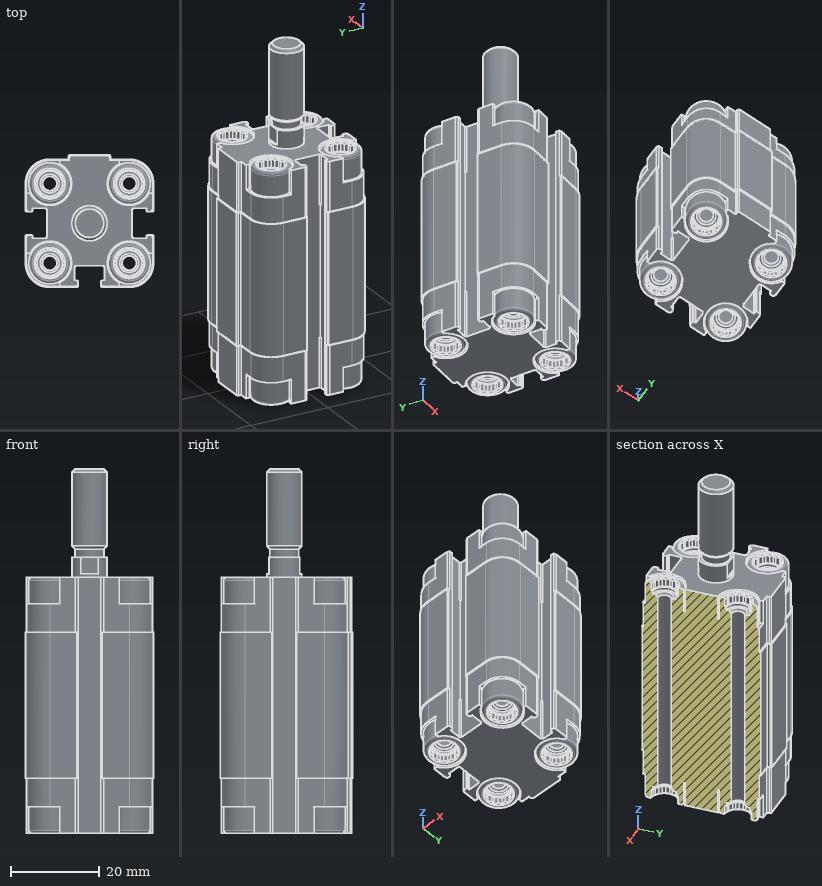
import cadquery as cq
import math


TOTAL_HEIGHT = 82.5
HOUSING_HEIGHT = 58.0
BARREL_WIDTH = 29.0
CAP_INSET = 0.25
CAP_HEIGHT = 12.45
SCREW_OFFSET = 9.0
BARREL_HALF = BARREL_WIDTH / 2
CAP_HALF = BARREL_HALF - CAP_INSET
BARREL_CORNER_RADIUS = BARREL_HALF - SCREW_OFFSET
BARREL_HEIGHT = HOUSING_HEIGHT - 2 * CAP_HEIGHT

RIB_WIDTH = 9.65
RIB_PROJECTION = 1.0
RIB_CHAMFER = 0.3

SLOT_WIDTH = 6.8
SLOT_FLOOR = 9.65
SLOT_MOUTH_WIDTH = 5.2
SLOT_LIP_THICKNESS = 1.65
SLOT_LIP_INNER_CHAMFER = 0.25
CAP_FLOOR_BEVEL = 0.3
BARREL_MOUTH_CHAMFER = 0.25
CAP_MOUTH_CHAMFER = 0.6
CAP_MOUTH_CHAMFER_DEPTH = 0.25
SLOT_ANGLES = (90, 180, 270)

HEAD_DIAMETER = 9.5
POCKET_DIAMETER = 9.9
HEAD_HEIGHT = 6.0
HEAD_FILLET = 0.75
CORNER_CUT_START = 6.8
SOCKET_POINTS = 12
SOCKET_MOUTH_DIAMETER = 7.0
SOCKET_OUTER_DIAMETER = 6.8
SOCKET_INNER_DIAMETER = 6.1
SOCKET_DEPTH = 2.3
RELIEF_DIAMETER = 5.7
RELIEF_DEPTH = 0.8
HOLE_DIAMETER = 3.2
HOLE_MOUTH_DIAMETER = 4.3

ROD_DIAMETER = 8.0
NECK_DIAMETER = 6.6
TIP_DIAMETER = 6.4
COLLAR_HEIGHT = 4.5
NECK_HEIGHT = 1.8
FLAT_SPACING = 7.0
FLAT_START = 0.75
ROD_DEPTH = CAP_HEIGHT


def outer_block(inset, height):
    """Rounded square block with its rib, moved in by the inset on every side."""
    half = BARREL_HALF - inset
    block = (
        cq.Workplane("XY")
        .rect(2 * half, 2 * half)
        .extrude(height)
        .edges("|Z")
        .fillet(BARREL_CORNER_RADIUS - inset)
    )
    rib_top = half + RIB_PROJECTION
    rib = (
        cq.Workplane("XY")
        .center(0, rib_top / 2)
        .rect(RIB_WIDTH - 2 * inset, rib_top)
        .extrude(height)
        .edges("|Z and >Y")
        .chamfer(RIB_CHAMFER)
    )
    return block.union(rib)


def slot_cutter():
    """T-slot on the +Y side over the whole height, with square floor corners in the barrel only."""
    half_slot = SLOT_WIDTH / 2
    half_mouth = SLOT_MOUTH_WIDTH / 2
    lip = BARREL_HALF - SLOT_LIP_THICKNESS
    bevel = SLOT_LIP_INNER_CHAMFER
    right_side = [
        (half_slot - CAP_FLOOR_BEVEL, SLOT_FLOOR),
        (half_slot, SLOT_FLOOR + CAP_FLOOR_BEVEL),
        (half_slot, lip),
        (half_mouth + bevel, lip),
        (half_mouth, lip + bevel),
        (half_mouth, BARREL_HALF),
    ]
    left_side = [(-x, y) for x, y in reversed(right_side)]
    slot = cq.Workplane("XY").polyline(right_side + left_side).close().extrude(HOUSING_HEIGHT)
    square_floor = (
        cq.Workplane("XY")
        .workplane(offset=CAP_HEIGHT)
        .center(0, (SLOT_FLOOR + lip) / 2)
        .rect(SLOT_WIDTH, lip - SLOT_FLOOR)
        .extrude(BARREL_HEIGHT)
    )
    return slot.union(square_floor)


def mouth_chamfer_cutter(face, chamfer, depth, bottom, height):
    """Wedge that bevels both slot mouth edges at a housing face on the +Y side."""
    half_mouth = SLOT_MOUTH_WIDTH / 2
    outline = [
        (half_mouth, face - depth),
        (half_mouth + chamfer, face),
        (-half_mouth - chamfer, face),
        (-half_mouth, face - depth),
    ]
    return cq.Workplane("XY").workplane(offset=bottom).polyline(outline).close().extrude(height)


def corner_clearance():
    """Space around the screw head in the +X +Y corner of the top cap, with the head left standing."""
    bottom = HOUSING_HEIGHT - HEAD_HEIGHT
    size = BARREL_HALF - CORNER_CUT_START
    corner = (
        cq.Workplane("XY")
        .box(size, size, HEAD_HEIGHT, centered=False)
        .translate((CORNER_CUT_START, CORNER_CUT_START, bottom))
    )
    axis = cq.Workplane("XY").workplane(offset=bottom).center(SCREW_OFFSET, SCREW_OFFSET)
    pocket = axis.circle(POCKET_DIAMETER / 2).extrude(HEAD_HEIGHT)
    head = axis.circle(HEAD_DIAMETER / 2).extrude(HEAD_HEIGHT).faces(">Z").edges().fillet(HEAD_FILLET)
    return corner.union(pocket).cut(head)


def cone_cutter(wide_diameter, narrow_diameter, top):
    """Cone on the Z axis that narrows downward at 45 degrees to the axis."""
    depth = (wide_diameter - narrow_diameter) / 2
    return (
        cq.Workplane("XY")
        .workplane(offset=top)
        .circle(wide_diameter / 2)
        .workplane(offset=-depth)
        .circle(narrow_diameter / 2)
        .loft()
    )


def socket_cutter():
    """Twelve-point socket, its mouth cone, its relief and the countersunk hole mouth, same corner."""
    points = []
    for step in range(2 * SOCKET_POINTS):
        angle = math.pi * step / SOCKET_POINTS
        radius = (SOCKET_OUTER_DIAMETER if step % 2 == 0 else SOCKET_INNER_DIAMETER) / 2
        points.append((radius * math.cos(angle), radius * math.sin(angle)))
    socket = cq.Workplane("XY").polyline(points).close().extrude(-SOCKET_DEPTH)
    floor = SOCKET_DEPTH + RELIEF_DEPTH
    relief = cq.Workplane("XY").circle(RELIEF_DIAMETER / 2).extrude(-floor)
    mouth = cone_cutter(SOCKET_MOUTH_DIAMETER, SOCKET_INNER_DIAMETER, 0)
    countersink = cone_cutter(HOLE_MOUTH_DIAMETER, HOLE_DIAMETER, -floor)
    cutter = socket.union(mouth).union(relief).union(countersink)
    return cutter.translate((SCREW_OFFSET, SCREW_OFFSET, HOUSING_HEIGHT))


def make_housing():
    cap_blank = outer_block(CAP_INSET, HOUSING_HEIGHT)
    barrel_blank = outer_block(0, BARREL_HEIGHT).translate((0, 0, CAP_HEIGHT))
    housing = cap_blank.union(barrel_blank)

    top_cap_bottom = HOUSING_HEIGHT - CAP_HEIGHT
    slot_cutters = [
        slot_cutter(),
        mouth_chamfer_cutter(
            BARREL_HALF, BARREL_MOUTH_CHAMFER, BARREL_MOUTH_CHAMFER, CAP_HEIGHT, BARREL_HEIGHT
        ),
    ]
    for cap_bottom in (0, top_cap_bottom):
        slot_cutters.append(
            mouth_chamfer_cutter(
                CAP_HALF, CAP_MOUTH_CHAMFER, CAP_MOUTH_CHAMFER_DEPTH, cap_bottom, CAP_HEIGHT
            )
        )
    for angle in SLOT_ANGLES:
        for cutter in slot_cutters:
            housing = housing.cut(cutter.rotate((0, 0, 0), (0, 0, 1), angle))

    middle = (0, 0, HOUSING_HEIGHT / 2)
    for top_cutter in (corner_clearance(), socket_cutter()):
        bottom_cutter = top_cutter.mirror("XY", middle)
        for corner in range(4):
            for cutter in (top_cutter, bottom_cutter):
                housing = housing.cut(cutter.rotate((0, 0, 0), (0, 0, 1), 90 * corner))

    screw_holes = (
        cq.Workplane("XY")
        .rect(2 * SCREW_OFFSET, 2 * SCREW_OFFSET, forConstruction=True)
        .vertices()
        .circle(HOLE_DIAMETER / 2)
        .extrude(HOUSING_HEIGHT)
    )
    housing = housing.cut(screw_holes)

    rod_bore = (
        cq.Workplane("XY")
        .workplane(offset=HOUSING_HEIGHT - ROD_DEPTH)
        .circle(ROD_DIAMETER / 2)
        .extrude(ROD_DEPTH)
    )
    return housing.cut(rod_bore)


def make_rod():
    rod_radius = ROD_DIAMETER / 2
    neck_radius = NECK_DIAMETER / 2
    tip_radius = TIP_DIAMETER / 2
    collar_top = HOUSING_HEIGHT + COLLAR_HEIGHT
    thread_bottom = collar_top + NECK_HEIGHT
    half_outline = [
        (0, HOUSING_HEIGHT - ROD_DEPTH),
        (rod_radius, HOUSING_HEIGHT - ROD_DEPTH),
        (rod_radius, collar_top),
        (neck_radius, collar_top),
        (neck_radius, thread_bottom),
        (rod_radius, thread_bottom + rod_radius - neck_radius),
        (rod_radius, TOTAL_HEIGHT - rod_radius + tip_radius),
        (tip_radius, TOTAL_HEIGHT),
        (0, TOTAL_HEIGHT),
    ]
    rod = cq.Workplane("XZ").polyline(half_outline).close().revolve(360, (0, 0, 0), (0, 1, 0))

    flat_height = COLLAR_HEIGHT - FLAT_START
    flat_cutter = (
        cq.Workplane("XY")
        .workplane(offset=HOUSING_HEIGHT + FLAT_START)
        .rect(ROD_DIAMETER, ROD_DIAMETER)
        .rect(ROD_DIAMETER, FLAT_SPACING)
        .extrude(flat_height)
    )
    return rod.cut(flat_cutter)


housing = make_housing()
rod = make_rod()

result = cq.Compound.makeCompound([housing.solids().val(), rod.solids().val()])